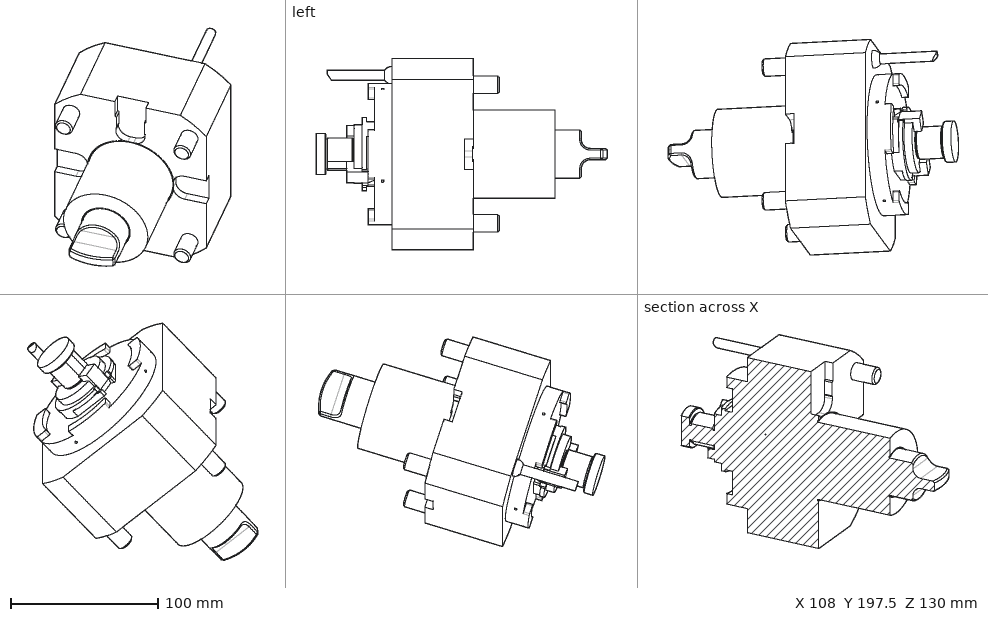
import cadquery as cq

OVERALL_LENGTH = 197.5

HOUSING_WIDTH = 108.0
HOUSING_HEIGHT = 130.0
HOUSING_DEPTH = 55.3
HOUSING_CORNER_RADIUS = 74.0

RECESS_DEPTH = 6.0
RECESS_WIDTH = 20.7
RECESS_CORNER = 8.3
RECESS_INNER_END = 30.5
NECK_WIDTH = 19.8
NECK_START = 41.0
NECK_END = 51.0
MOUTH_WIDTH = 22.1
NECK_TAPER = 0.8

PIN_DIAMETER = 12.0
PIN_LENGTH = 17.5
PIN_CHAMFER = 1.2
PIN_X = 42.0
PIN_Z = 47.0

BARREL_DIAMETER = 60.0
BARREL_LENGTH = 55.5
CLEARANCE = 0.8

KNOB_DIAMETER = 33.0
KNOB_TIP = 90.8
KNOB_SHOULDER = 73.3
KNOB_CHAMFER = 1.2
BLADE_THICKNESS = 7.9
BLADE_ROOT_RADIUS = 6.0
BLADE_TIP_RADIUS = 39.5

DISC_DIAMETER = 96.0
DISC_THICKNESS = 11.8
TAB_HEIGHT = 4.3
DISC_BACK = HOUSING_DEPTH + DISC_THICKNESS
TAB_BACK = DISC_BACK + TAB_HEIGHT
TAB_WIDTH = 33.5
TAB_INNER_DIAMETER = 80.2
TAB_CORNER = 1.2
RADIAL_HOLE_DIAMETER = 1.7
RADIAL_HOLE_DEPTH = 4.0
RADIAL_HOLE_OFFSET = 6.3
RADIAL_HOLE_ANGLE = 22.5

FLANGE_DIAMETER = 50.0
FLANGE_FRONT = 72.5
FLANGE_BACK = 75.5
FOOT_ACROSS_FLATS = 44.0
RING_DIAMETER = 39.9
RING_BACK = 81.0
LUG_WIDTH = 10.5
LUG_INNER = 12.2
LUG_OUTER = 22.3
LUG_BACK = 86.1
LUG_TAPER_HEIGHT = TAB_HEIGHT
LUG_TAPER = 2.5
LUG_DIRECTIONS = (45, 225)
SLOT_WIDTH = 17.0
SLOT_FLOOR = 21.5

PLUNGER_DIAMETER = 22.1
PLUNGER_NECK_DIAMETER = 20.5
PLUNGER_FRONT = 81.5
PLUNGER_CHAMFER = 0.8
PLUNGER_BACK = 99.0
PLUNGER_FLAT = 10.5
PLUNGER_FLAT_DIRECTION = 225
HEAD_DIAMETER = 28.0
HEAD_FRONT = 100.1
HEAD_CHAMFER = 0.5
REAR_END = OVERALL_LENGTH - KNOB_TIP

CABLE_DIAMETER = 7.0
CABLE_X = 25.9
CABLE_Z = 53.5
CABLE_END = 99.3
CABLE_BEVEL_LENGTH = 3.0
CABLE_BEVEL_HEIGHT = 4.3
GLAND_DIAMETER = 12.0


def front_plane(y=0.0, x=0.0, z=0.0):
    """Sketch plane facing -Y with local axes along X and Z."""
    return cq.Workplane("XZ", origin=(x, y, z))


def cylinder(diameter, y_start, y_end, x=0.0, z=0.0):
    """Cylinder along Y between two Y positions."""
    return front_plane(y_start, x, z).circle(diameter / 2).extrude(y_start - y_end)


def block(x_range, y_range, z_range):
    """Axis-aligned box given by its limits."""
    sizes = [limits[1] - limits[0] for limits in (x_range, y_range, z_range)]
    corner = (x_range[0], y_range[0], z_range[0])
    return cq.Workplane("XY").box(*sizes, centered=False).translate(corner)


def turned(solid, angle):
    """Turn a solid about the lock axis, from +X towards +Z."""
    return solid.rotate((0, 0, 0), (0, -1, 0), angle)


def side_recess():
    """Recess from its rounded end near the barrel out to the +X side."""
    length = HOUSING_WIDTH / 2 - RECESS_INNER_END
    center = RECESS_INNER_END + length / 2
    recess = front_plane(0, center).rect(length, RECESS_WIDTH).extrude(-RECESS_DEPTH)
    return recess.edges("|Y and <X").fillet(RECESS_CORNER)


def top_recess():
    """Recess up to the top edge, narrowed between its round end and its mouth."""
    right_side = [
        (RECESS_WIDTH / 2, RECESS_INNER_END),
        (RECESS_WIDTH / 2, NECK_START - NECK_TAPER),
        (NECK_WIDTH / 2, NECK_START),
        (NECK_WIDTH / 2, NECK_END),
        (MOUTH_WIDTH / 2, NECK_END + NECK_TAPER),
        (MOUTH_WIDTH / 2, HOUSING_HEIGHT / 2),
    ]
    left_side = [(-x, z) for x, z in reversed(right_side)]
    recess = front_plane().polyline(right_side + left_side).close().extrude(-RECESS_DEPTH)
    return recess.edges("|Y and <Z").fillet(RECESS_CORNER)


def housing():
    body = front_plane().rect(HOUSING_WIDTH, HOUSING_HEIGHT).extrude(-HOUSING_DEPTH)
    body = body.intersect(cylinder(2 * HOUSING_CORNER_RADIUS, 0, HOUSING_DEPTH))
    body = body.cut(side_recess()).cut(turned(side_recess(), 180)).cut(top_recess())
    return body.cut(cylinder(BARREL_DIAMETER + 2 * CLEARANCE, 0, CLEARANCE))


def pins():
    pin_set = front_plane(HOUSING_DEPTH / 2).rect(2 * PIN_X, 2 * PIN_Z, forConstruction=True).vertices()
    pin_set = pin_set.circle(PIN_DIAMETER / 2).extrude(HOUSING_DEPTH / 2 + PIN_LENGTH)
    return pin_set.faces("<Y").chamfer(PIN_CHAMFER)


def barrel():
    body = cylinder(BARREL_DIAMETER, HOUSING_DEPTH / 2, -BARREL_LENGTH)
    return body.cut(cylinder(KNOB_DIAMETER + 2 * CLEARANCE, CLEARANCE - BARREL_LENGTH, -BARREL_LENGTH))


def knob():
    """Round knob whose front end is cut on both sides to leave a rounded blade."""
    radius = KNOB_DIAMETER / 2
    body = cylinder(KNOB_DIAMETER, 0, -KNOB_TIP)
    tip_center = BLADE_TIP_RADIUS - KNOB_TIP
    tip = cq.Workplane("XY", origin=(0, tip_center, -radius)).circle(BLADE_TIP_RADIUS).extrude(2 * radius)
    body = body.intersect(tip)

    half_blade = BLADE_THICKNESS / 2
    root_end = KNOB_SHOULDER + BLADE_ROOT_RADIUS
    root_start = half_blade + BLADE_ROOT_RADIUS
    beyond = 2.0
    side_cut = (
        cq.Workplane("YZ", origin=(-radius, 0, 0))
        .moveTo(-KNOB_TIP - beyond, half_blade)
        .lineTo(-root_end, half_blade)
        .radiusArc((-KNOB_SHOULDER, root_start), -BLADE_ROOT_RADIUS)
        .lineTo(-KNOB_SHOULDER, radius + beyond)
        .lineTo(-KNOB_TIP - beyond, radius + beyond)
        .close()
        .extrude(2 * radius)
    )
    body = body.cut(side_cut).cut(turned(side_cut, 180))
    blade_zone = cq.selectors.BoxSelector(
        (-radius, -KNOB_TIP - beyond, -radius),
        (radius, beyond - KNOB_SHOULDER, radius),
    )
    return body.edges(blade_zone).chamfer(KNOB_CHAMFER)


def disc():
    """Rear disc with a raised tab on each of its four sides and small holes in its rim."""
    radius = DISC_DIAMETER / 2
    tab_ring = cylinder(DISC_DIAMETER, DISC_BACK, TAB_BACK)
    tab_ring = tab_ring.cut(cylinder(TAB_INNER_DIAMETER, DISC_BACK, TAB_BACK))
    half_width = TAB_WIDTH / 2
    tab = tab_ring.intersect(block((0, radius), (DISC_BACK, TAB_BACK), (-half_width, half_width)))
    tab = tab.edges("|Y").fillet(TAB_CORNER)
    between_tabs = cylinder(DISC_DIAMETER, DISC_BACK, TAB_BACK)
    for quarter in range(4):
        between_tabs = between_tabs.cut(turned(tab, 90 * quarter))
    body = cylinder(DISC_DIAMETER, HOUSING_DEPTH, TAB_BACK).cut(between_tabs)

    hole_start = (radius - RADIAL_HOLE_DEPTH, HOUSING_DEPTH + RADIAL_HOLE_OFFSET, 0)
    hole = cq.Workplane("YZ", origin=hole_start).circle(RADIAL_HOLE_DIAMETER / 2).extrude(RADIAL_HOLE_DEPTH)
    for quarter in range(4):
        body = body.cut(turned(hole, 90 * quarter + RADIAL_HOLE_ANGLE))
    return body


def bayonet():
    """Flange on a flat-sided foot, slotted for two lugs that stand beside the plunger."""
    foot = front_plane(DISC_BACK).rect(FOOT_ACROSS_FLATS, FOOT_ACROSS_FLATS).extrude(DISC_BACK - FLANGE_FRONT)
    foot = foot.intersect(cylinder(FLANGE_DIAMETER, DISC_BACK, FLANGE_FRONT))
    body = foot.union(cylinder(FLANGE_DIAMETER, FLANGE_FRONT, FLANGE_BACK))
    body = body.union(cylinder(RING_DIAMETER, FLANGE_BACK, RING_BACK))

    half_slot = SLOT_WIDTH / 2
    half_lug = LUG_WIDTH / 2
    slot = block((SLOT_FLOOR, FLANGE_DIAMETER), (TAB_BACK, FLANGE_BACK), (-half_slot, half_slot))
    lug_seat = block((LUG_INNER, FLANGE_DIAMETER), (DISC_BACK, RING_BACK), (-half_lug, half_lug))
    lug = block((LUG_INNER, LUG_OUTER), (DISC_BACK, LUG_BACK), (-half_lug, half_lug))
    lug = lug.faces("<Y").edges(">X").chamfer(LUG_TAPER_HEIGHT, LUG_TAPER)
    for angle in LUG_DIRECTIONS:
        body = body.cut(turned(slot.union(lug_seat), angle)).union(turned(lug, angle))
    return body


def plunger():
    """Push rod with one diagonal flat and a wider head."""
    rod = cylinder(PLUNGER_DIAMETER, PLUNGER_FRONT, PLUNGER_BACK)
    radius = PLUNGER_DIAMETER / 2
    flat_cut = block((PLUNGER_FLAT, radius), (PLUNGER_FRONT, PLUNGER_BACK), (-radius, radius))
    rod = rod.faces("<Y").chamfer(PLUNGER_CHAMFER).cut(turned(flat_cut, PLUNGER_FLAT_DIRECTION))
    neck = cylinder(PLUNGER_NECK_DIAMETER, FLANGE_BACK, REAR_END)
    head = cylinder(HEAD_DIAMETER, HEAD_FRONT, REAR_END).faces("<Y").chamfer(HEAD_CHAMFER)
    return rod.union(neck).union(head)


def cable():
    """Cable with a bevelled end, leaving the housing through a domed gland."""
    body = cylinder(CABLE_DIAMETER, HOUSING_DEPTH / 2, CABLE_END, CABLE_X, CABLE_Z)
    lower_edge = CABLE_Z - CABLE_DIAMETER / 2
    bevel = (
        cq.Workplane("YZ", origin=(CABLE_X - CABLE_DIAMETER / 2, 0, 0))
        .moveTo(CABLE_END, lower_edge)
        .lineTo(CABLE_END, lower_edge + CABLE_BEVEL_HEIGHT)
        .lineTo(CABLE_END - CABLE_BEVEL_LENGTH, lower_edge)
        .close()
        .extrude(CABLE_DIAMETER)
    )
    gland = cq.Workplane("XY").sphere(GLAND_DIAMETER / 2).translate((CABLE_X, HOUSING_DEPTH, CABLE_Z))
    return body.cut(bevel).union(gland)


result = housing()
for component in (pins(), barrel(), knob(), disc(), bayonet(), plunger(), cable()):
    result = result.union(component)